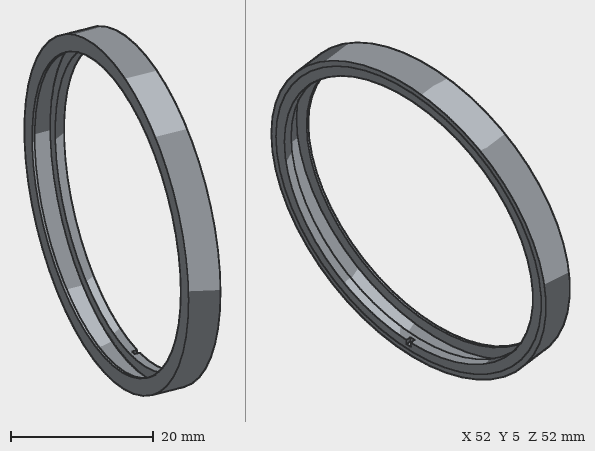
import cadquery as cq
WIDTH = 5.0
OUTER_RADIUS = 26.0
OPENING_RADIUS = 23.5
FRONT_LIP_WIDTH = 0.4

UNDERCUT_RADIUS = 25.4
INSERT_OVERHANG = 0.3

INSERT_RADIUS = 25.1
INSERT_WIDTH = 1.4
INSERT_FRONT = WIDTH - INSERT_WIDTH
SEAT_FRONT = INSERT_FRONT + INSERT_OVERHANG

NOTCH_SIZE = 0.8


def cylinder(radius, front, back):
    """Solid cylinder along Y, from Y = front to Y = back."""
    return cq.Workplane("XZ", origin=(0, front, 0)).circle(radius).extrude(front - back)


def make_housing():
    """Outer ring with a thin front lip, an undercut and a seat at the back."""
    body = cylinder(OUTER_RADIUS, 0, WIDTH)
    opening = cylinder(OPENING_RADIUS, 0, FRONT_LIP_WIDTH)
    undercut = cylinder(UNDERCUT_RADIUS, FRONT_LIP_WIDTH, SEAT_FRONT)
    seat = cylinder(INSERT_RADIUS, SEAT_FRONT, WIDTH)
    return body.cut(opening).cut(undercut).cut(seat)


def make_insert_ring():
    """Plain ring held in the seat, with one notch at the bottom."""
    body = cylinder(INSERT_RADIUS, INSERT_FRONT, WIDTH)
    opening = cylinder(OPENING_RADIUS, INSERT_FRONT, WIDTH)
    notch = cq.Workplane("XY").box(NOTCH_SIZE, NOTCH_SIZE, 2 * NOTCH_SIZE)
    notch = notch.translate((0, WIDTH - NOTCH_SIZE / 2, -OPENING_RADIUS))
    return body.cut(opening).cut(notch)


housing = make_housing()
insert_ring = make_insert_ring()

result = cq.Compound.makeCompound([housing.val(), insert_ring.val()])